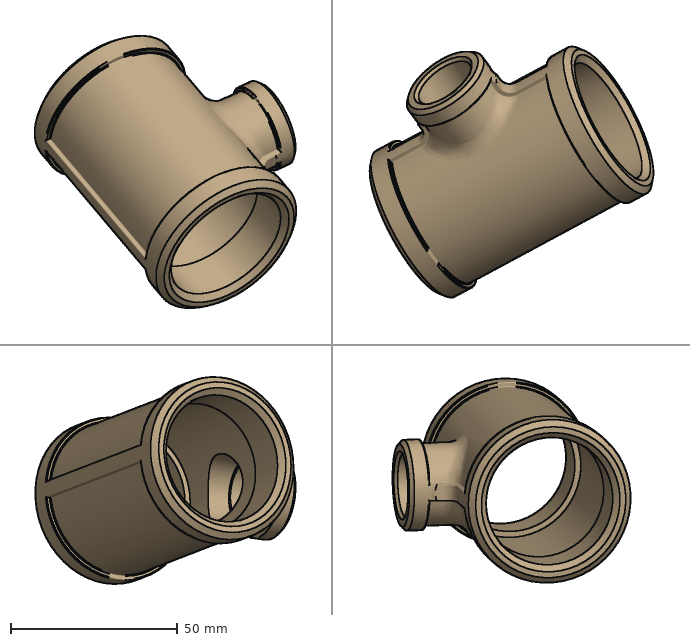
import cadquery as cq

RUN_LENGTH = 72.0
RUN_COLLAR_RADIUS = 50.0 / 2
RUN_COLLAR_LENGTH = 8.0
RUN_BORE_RADIUS = 38.95 / 2
RUN_CORE_RADIUS = 42.6 / 2
RUN_BORE_LENGTH = 15.0
RUN_CHAMFER_LENGTH = 1.9
RUN_CHAMFER_DEPTH = 1.7

BRANCH_REACH = 38.5
BRANCH_COLLAR_RADIUS = 27.5 / 2
BRANCH_COLLAR_LENGTH = 6.0
BRANCH_BORE_RADIUS = 18.63 / 2
BRANCH_CORE_RADIUS = 20.6 / 2
BRANCH_BORE_LENGTH = 10.0
BRANCH_CHAMFER = 1.25

WALL = 2.2
RUN_RADIUS = RUN_CORE_RADIUS + WALL
BRANCH_RADIUS = BRANCH_CORE_RADIUS + WALL
JUNCTION_FILLET = 5.0

RIB_WIDTH = 5.0
RIB_HEIGHT = RUN_COLLAR_RADIUS - RUN_RADIUS
BRANCH_RIB_OFFSET = BRANCH_RADIUS + RIB_HEIGHT
RIB_CORNER_FILLET = JUNCTION_FILLET - RIB_HEIGHT
RIB_COLLAR_BLEND = 5.0

EDGE_FILLET = 0.3

HALF_RUN = RUN_LENGTH / 2
RUN_COLLAR_START = HALF_RUN - RUN_COLLAR_LENGTH
BRANCH_COLLAR_START = BRANCH_REACH - BRANCH_COLLAR_LENGTH
COLLAR_OVERLAP = 1.0
TOLERANCE = 0.001


def cylinder_x(radius, start, length):
    """Cylinder along +X, starting at X = start."""
    return cq.Workplane("YZ", origin=(start, 0, 0)).circle(radius).extrude(length)


def cylinder_y(radius, start, length):
    """Cylinder along +Y, starting at Y = start."""
    return cq.Workplane("XZ", origin=(0, start, 0)).circle(radius).extrude(-length)


def make_pipes():
    """Plain run and branch pipes with the large blend between them."""
    half_length = RUN_COLLAR_START + COLLAR_OVERLAP
    run = cylinder_x(RUN_RADIUS, -half_length, 2 * half_length)
    branch = cylinder_y(BRANCH_RADIUS, 0, BRANCH_COLLAR_START + COLLAR_OVERLAP)
    reach = BRANCH_RADIUS + TOLERANCE
    junction = cq.selectors.BoxSelector(
        (-reach, 0, -reach), (reach, RUN_RADIUS + TOLERANCE, reach), boundingbox=True
    )
    return run.union(branch).edges(junction).fillet(JUNCTION_FILLET)


def make_collars():
    """Thickened pipe ends, chamfered at the mouth and rounded at the inner edge."""
    right = cylinder_x(RUN_COLLAR_RADIUS, RUN_COLLAR_START, RUN_COLLAR_LENGTH)
    right = right.faces(">X").chamfer(RUN_CHAMFER_DEPTH, RUN_CHAMFER_LENGTH)
    right = right.faces("<X").edges().fillet(EDGE_FILLET)
    left = right.mirror("YZ")
    branch = cylinder_y(BRANCH_COLLAR_RADIUS, BRANCH_COLLAR_START, BRANCH_COLLAR_LENGTH)
    branch = branch.faces(">Y").chamfer(BRANCH_CHAMFER)
    branch = branch.faces("<Y").edges().fillet(EDGE_FILLET)
    return left.union(right).union(branch)


def make_rib_envelope():
    """Solid of revolution about Y whose side flares from the branch collar down to the rib."""
    flare_radius = BRANCH_COLLAR_RADIUS + RIB_COLLAR_BLEND
    return (
        cq.Workplane("XY")
        .moveTo(0, -RUN_COLLAR_RADIUS)
        .lineTo(HALF_RUN, -RUN_COLLAR_RADIUS)
        .lineTo(HALF_RUN, BRANCH_COLLAR_START - RIB_COLLAR_BLEND)
        .lineTo(flare_radius, BRANCH_COLLAR_START - RIB_COLLAR_BLEND)
        .radiusArc((BRANCH_COLLAR_RADIUS, BRANCH_COLLAR_START), RIB_COLLAR_BLEND)
        .lineTo(BRANCH_COLLAR_RADIUS, BRANCH_REACH)
        .lineTo(0, BRANCH_REACH)
        .close()
        .revolve(360, (0, 0), (0, 1))
    )


def make_ribs():
    """Ribs along both sides of the run; the +Y one turns up both sides of the branch."""
    half_length = RUN_COLLAR_START + COLLAR_OVERLAP
    run_slab = cq.Workplane().box(2 * half_length, 2 * RUN_COLLAR_RADIUS, RIB_WIDTH)
    run_rib = cylinder_x(RUN_COLLAR_RADIUS, -half_length, 2 * half_length).intersect(run_slab)
    branch_rib = cq.Workplane().box(
        2 * BRANCH_RIB_OFFSET,
        BRANCH_COLLAR_START + COLLAR_OVERLAP,
        RIB_WIDTH,
        centered=(True, False, True),
    )
    ribs = run_rib.union(branch_rib)
    reach = BRANCH_RIB_OFFSET + TOLERANCE
    corners = cq.selectors.BoxSelector(
        (-reach, RUN_RADIUS, -RIB_WIDTH),
        (reach, RUN_COLLAR_RADIUS + TOLERANCE, RIB_WIDTH),
        boundingbox=True,
    )
    ribs = ribs.edges(corners).fillet(RIB_CORNER_FILLET)
    ribs = ribs.intersect(make_rib_envelope())
    return ribs.faces("<Z or >Z").edges("not(<X or >X or >Y)").fillet(EDGE_FILLET)


def fillet_roots(body, pipes):
    """Round the inner corners where the ribs and collars rise from the pipe skin."""
    skin = pipes.val().Shells()[0]

    def is_root(edge):
        middle = edge.positionAt(0.5)
        on_wall = (
            abs(abs(middle.x) - RUN_COLLAR_START) < TOLERANCE
            or abs(middle.y - BRANCH_COLLAR_START) < TOLERANCE
            or abs(abs(middle.z) - RIB_WIDTH / 2) < TOLERANCE
        )
        return on_wall and skin.distance(cq.Vertex.makeVertex(*middle.toTuple())) < TOLERANCE

    roots = [edge for edge in body.edges().vals() if is_root(edge)]
    return body.newObject(roots).fillet(EDGE_FILLET)


def mouth_cone(small_radius, large_radius, plane, mouth_centre):
    """45 degree cone that opens from the bore out to its end face."""
    depth = large_radius - small_radius
    mouth = cq.Workplane(plane, origin=mouth_centre).circle(large_radius)
    return mouth.workplane(offset=-depth).circle(small_radius).loft(ruled=True)


def make_cavity():
    """Bores entered through tapered mouths, opening into wider cores behind them."""
    core_half_length = HALF_RUN - RUN_BORE_LENGTH
    right_mouth = mouth_cone(RUN_BORE_RADIUS, RUN_CORE_RADIUS, "YZ", (HALF_RUN, 0, 0))
    branch_mouth = mouth_cone(BRANCH_BORE_RADIUS, BRANCH_CORE_RADIUS, "ZX", (0, BRANCH_REACH, 0))
    return (
        cylinder_x(RUN_BORE_RADIUS, -HALF_RUN, RUN_LENGTH)
        .union(cylinder_x(RUN_CORE_RADIUS, -core_half_length, 2 * core_half_length))
        .union(cylinder_y(BRANCH_BORE_RADIUS, 0, BRANCH_REACH))
        .union(cylinder_y(BRANCH_CORE_RADIUS, 0, BRANCH_REACH - BRANCH_BORE_LENGTH))
        .union(right_mouth)
        .union(right_mouth.mirror("YZ"))
        .union(branch_mouth)
    )


pipes = make_pipes()
body = pipes.union(make_ribs()).union(make_collars())
body = fillet_roots(body, pipes)
result = body.cut(make_cavity()).clean()